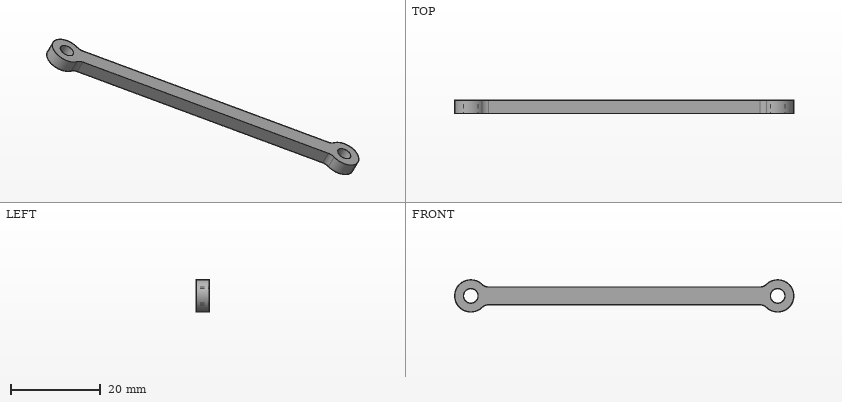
import cadquery as cq

overall_length = 75.45
thickness = 3.0
eye_diameter = 7.2
hole_diameter = 3.2
bar_height = 4.0
neck_fillet_radius = 2.0

hole_spacing = overall_length - eye_diameter
hole_centers = [(-hole_spacing / 2, 0), (hole_spacing / 2, 0)]


def discs(diameter):
    """Full-thickness discs along Y, one on each hole center."""
    plane = cq.Workplane("XZ", origin=(0, thickness / 2, 0))
    return plane.pushPoints(hole_centers).circle(diameter / 2).extrude(thickness)


def make_link():
    """Straight bar joining two round eyes, with the neck corners rounded."""
    bar = cq.Workplane("XY").box(hole_spacing, thickness, bar_height)
    link = bar.union(discs(eye_diameter))
    neck_zone = cq.selectors.BoxSelector(
        (-hole_spacing / 2, -thickness, -bar_height),
        (hole_spacing / 2, thickness, bar_height),
    )
    return link.edges("|Y").edges(neck_zone).fillet(neck_fillet_radius)


result = make_link().cut(discs(hole_diameter))